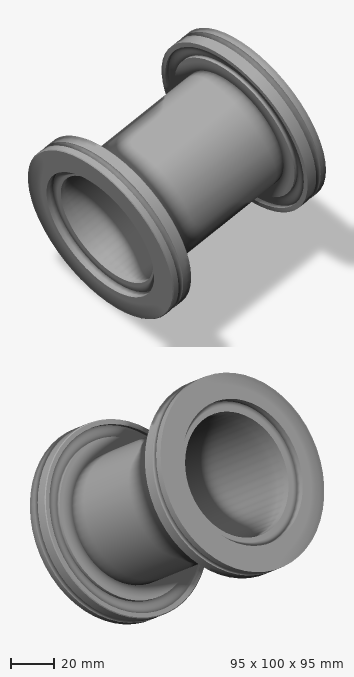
import cadquery as cq

length = 100.0
bore_diameter = 60.0
tube_diameter = 63.5

flange_diameter = 95.0
flange_thickness = 12.0
near_rim_chamfer = 0.4

seat_diameter = 70.0
seat_depth = 4.3

rim_groove_radius = 1.5
rim_groove_offset = 4.9

channel_inner_diameter = 78.0
channel_outer_diameter = 90.0
channel_depth = 2.0


def cylinder(diameter, start, depth):
    """Solid cylinder on the Y axis, running from start toward +Y."""
    return cq.Workplane("XZ", origin=(0, start, 0)).circle(diameter / 2).extrude(-depth)


def make_flange(rim_chamfer):
    """Flange with its outer face at Y = 0 and its inner face toward +Y."""
    flange = cylinder(flange_diameter, 0, flange_thickness)
    if rim_chamfer > 0:
        flange = flange.edges().chamfer(rim_chamfer)

    rim_groove = cq.Workplane("XY").add(
        cq.Solid.makeTorus(
            flange_diameter / 2,
            rim_groove_radius,
            cq.Vector(0, rim_groove_offset, 0),
            cq.Vector(0, 1, 0),
        )
    )

    channel_floor = flange_thickness - channel_depth
    channel = cylinder(channel_outer_diameter, channel_floor, channel_depth).cut(
        cylinder(channel_inner_diameter, channel_floor, channel_depth)
    )

    seat = cylinder(seat_diameter, 0, seat_depth)
    return flange.cut(rim_groove).cut(channel).cut(seat)


near_flange = make_flange(near_rim_chamfer).translate((0, -length / 2, 0))
far_flange = make_flange(0).translate((0, -length / 2, 0)).mirror("XZ")

tube_length = length - 2 * seat_depth
tube = cylinder(tube_diameter, -tube_length / 2, tube_length)
bore = cylinder(bore_diameter, -length / 2, length)

result = near_flange.union(far_flange).union(tube).cut(bore)